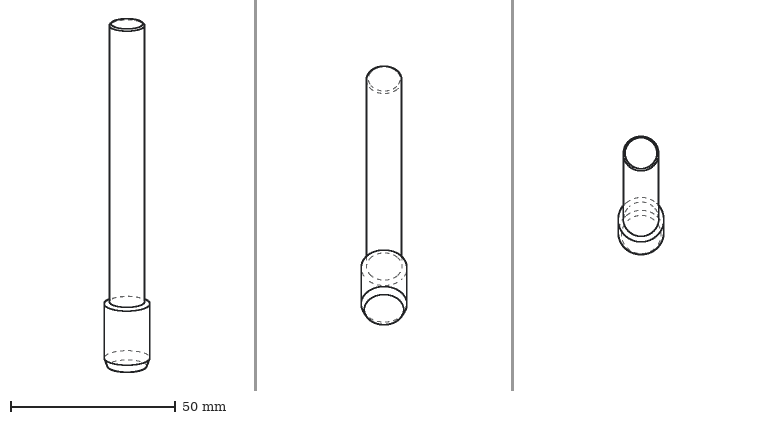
import cadquery as cq

TOTAL_LENGTH = 110.0

SLEEVE_DIAMETER = 14.0
SLEEVE_EDGE_HEIGHT = 20.0
SHOULDER_RISE = 0.7
LEAD_IN_HEIGHT = 2.6
LEAD_IN_END_DIAMETER = 12.0

ROD_DIAMETER = 10.8
ROD_CHAMFER = 0.5

SLEEVE_RADIUS = SLEEVE_DIAMETER / 2
ROD_RADIUS = ROD_DIAMETER / 2
SLEEVE_TOP = SLEEVE_EDGE_HEIGHT + SHOULDER_RISE


def revolve_profile(points):
    """Turn a closed outline of (radius, height) points about the Z axis."""
    return cq.Workplane("XZ").polyline(points).close().revolve(360, (0, 0), (0, 1))


def make_sleeve():
    """Solid collar with a tapered lower end and a sloped shoulder up to the rod."""
    return revolve_profile([
        (0, 0),
        (LEAD_IN_END_DIAMETER / 2, 0),
        (SLEEVE_RADIUS, LEAD_IN_HEIGHT),
        (SLEEVE_RADIUS, SLEEVE_EDGE_HEIGHT),
        (ROD_RADIUS, SLEEVE_TOP),
        (0, SLEEVE_TOP),
    ])


def make_rod():
    """Plain round rod standing on the sleeve, chamfered at its upper end."""
    return revolve_profile([
        (0, SLEEVE_TOP),
        (ROD_RADIUS, SLEEVE_TOP),
        (ROD_RADIUS, TOTAL_LENGTH - ROD_CHAMFER),
        (ROD_RADIUS - ROD_CHAMFER, TOTAL_LENGTH),
        (0, TOTAL_LENGTH),
    ])


sleeve = make_sleeve()
rod = make_rod()

result = cq.Compound.makeCompound([sleeve.val(), rod.val()])